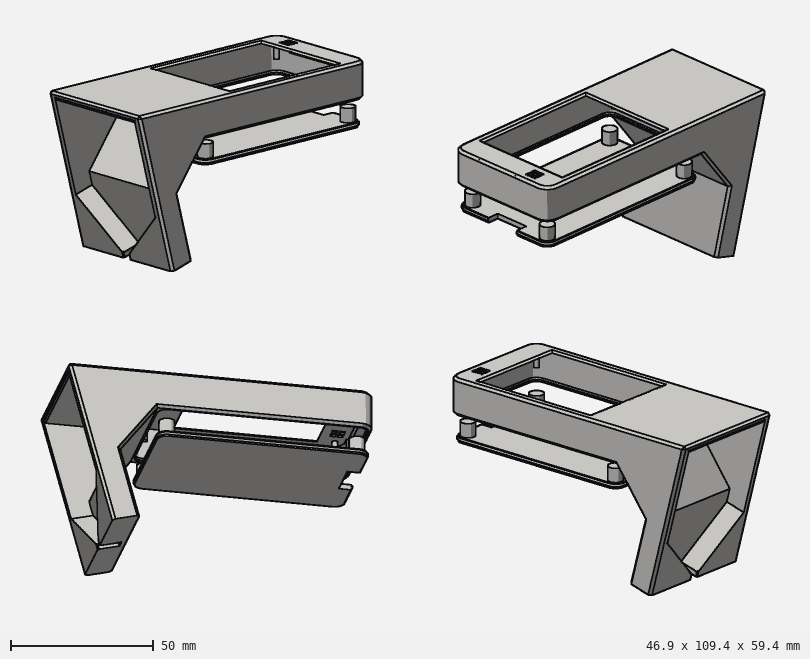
import cadquery as cq
import math

width = 46.9
height = 59.39
top_length = 109.62
body_height = 14.0
brace_start = 77.5
brace_end_depth = 31.5
leg_tilt = math.radians(15)
leg_thickness = 10.0
corner_radius = 5.0
edge_chamfer = 1.0

bay_wall = 1.6
bay_length = 75.2
bay_roof = 0.8
bay_corner_radius = 3.5
bay_width = width - 2 * bay_wall
bay_start_y = -bay_wall
bay_end_y = bay_start_y - bay_length
bay_center_y = (bay_start_y + bay_end_y) / 2

cavity_wall = 3.0
cavity_roof = 3.0
cavity_half_width = width / 2 - cavity_wall
back_wall = 1.9
mouth_roof = 2.0
mouth_depth = 0.5
inner_knee_depth = 31.9
inner_brace_top = 10.9
funnel_start = 40.6
slot_half_width = 1.55
mouth_slot_half_width = 1.85

window_width = 39.0
window_length = 51.3
window_start = 11.35
window_bevel = bay_roof
button_size = 1.8
button_pitch = 2.64
button_center = (-11.85, -5.5)
relief_width = 31.4
relief_bottom = -5.2
relief_offset = 0.3
relief_depth = 0.7

peg_diameter = 2.0
peg_bottom = -7.2
post_diameter = 5.5
post_height = 5.3
cover_thickness = 2.0
cover_bottom = -24.3
cover_top = cover_bottom + cover_thickness
bead_radius = 0.5
groove_radius = 0.4
bead_drop = 0.85
notch_width = 14.0
notch_depth = 4.5

fastener_points = [
    (side * (bay_width / 2 - bay_corner_radius), y)
    for side in (-1, 1)
    for y in (bay_start_y - bay_corner_radius, bay_end_y + bay_corner_radius)
]

tilt_sin = math.sin(leg_tilt)
tilt_cos = math.cos(leg_tilt)
tilt_tan = math.tan(leg_tilt)


def tilted_line_y(depth, offset):
    """Y at a depth, on the line parallel to the tilted face and `offset` inside it."""
    return -top_length + depth * tilt_tan + offset / tilt_cos


toe = (tilted_line_y(height, 0), -height)
heel = (toe[0] + leg_thickness * tilt_cos, toe[1] + leg_thickness * tilt_sin)
knee = (tilted_line_y(brace_end_depth, leg_thickness), -brace_end_depth)
brace_top = (-brace_start, -body_height)

tilted_plane = cq.Plane(
    origin=(0, -top_length, 0), xDir=(1, 0, 0), normal=(0, -tilt_cos, -tilt_sin)
)


def side_prism(points, prism_width):
    return cq.Workplane("YZ").polyline(points).close().extrude(prism_width / 2, both=True)


def make_shell():
    outline = [(0, 0), (-top_length, 0), toe, heel, knee, brace_top, (0, -body_height)]
    shell = side_prism(outline, width).edges("|Z and >Y").fillet(corner_radius)
    end_face_edges = cq.selectors.ParallelDirSelector(cq.Vector(0, tilt_cos, tilt_sin))
    upright_edges = cq.selectors.ParallelDirSelector(cq.Vector(0, 0, 1))
    corner_arcs = shell.edges("%CIRCLE")
    rim = shell.faces("<X or >X or >Y or >Z").edges(-(end_face_edges + upright_edges))
    return rim.add(corner_arcs).chamfer(edge_chamfer)


def rounded_block(center_y, block_width, length, radius, bottom, block_height):
    return (
        cq.Workplane("XY", origin=(0, center_y, bottom))
        .rect(block_width, length)
        .extrude(block_height)
        .edges("|Z")
        .fillet(radius)
    )


def bead_ring(center_z, radius):
    """Round bar that follows the bay outline, half of it standing out of the outline."""
    outline = rounded_block(bay_center_y, bay_width, bay_length, bay_corner_radius, center_z, 1)
    path = outline.faces("<Z").wires()
    section = cq.Workplane("XZ", origin=(bay_width / 2, bay_center_y, center_z)).circle(radius)
    return section.sweep(path, transition="round")


def make_bay():
    bay = rounded_block(bay_center_y, bay_width, bay_length, bay_corner_radius,
                        -2 * body_height, 2 * body_height - bay_roof)
    groove_z = -body_height + cover_thickness - bead_drop
    return bay.union(bead_ring(groove_z, groove_radius))


def make_funnel(top, slot_half, depth):
    """Opening in the tilted face, narrowing from full width to the slot at the toe."""
    right_side = [
        (cavity_half_width, top),
        (cavity_half_width, -funnel_start),
        (slot_half, slot_half - cavity_half_width - funnel_start),
        (slot_half, -2 * height),
    ]
    left_side = [(-x, y) for x, y in reversed(right_side)]
    return cq.Workplane(tilted_plane).polyline(right_side + left_side).close().extrude(-depth)


def make_rear_cavity():
    """Hollow behind the tilted face, following the leg and the brace."""
    floor_offset = leg_thickness - back_wall
    overlap_y = bay_end_y + bay_corner_radius
    side_outline = [
        (overlap_y, -cavity_roof),
        (tilted_line_y(cavity_roof, 0), -cavity_roof),
        (tilted_line_y(2 * height, 0), -2 * height),
        (tilted_line_y(2 * height, floor_offset), -2 * height),
        (tilted_line_y(inner_knee_depth, floor_offset), -inner_knee_depth),
        (bay_end_y, -inner_brace_top),
        (overlap_y, -inner_brace_top),
    ]
    hollow = side_prism(side_outline, 2 * cavity_half_width)
    funnel = make_funnel(height, slot_half_width, top_length)
    mouth_step = make_funnel(-mouth_roof / tilt_cos, mouth_slot_half_width, mouth_depth)
    return hollow.intersect(funnel).union(mouth_step)


def make_window():
    center = (0, -window_start - window_length / 2)
    opening = cq.Workplane("XY").center(*center).rect(window_width, window_length).extrude(-2 * bay_roof)
    bevel = (
        cq.Workplane("XY", origin=(*center, -window_bevel))
        .rect(window_width, window_length)
        .workplane(offset=window_bevel)
        .rect(window_width + 2 * window_bevel, window_length + 2 * window_bevel)
        .loft(ruled=True)
    )
    return opening.union(bevel)


def make_button_holes():
    return (
        cq.Workplane("XY")
        .center(*button_center)
        .rarray(button_pitch, button_pitch, 2, 2)
        .rect(button_size, button_size)
        .extrude(-2 * bay_roof)
    )


def make_end_relief():
    relief_height = -bay_roof - relief_bottom
    relief = cq.Workplane("XY").box(
        relief_width, 2 * relief_depth, relief_height, centered=(True, True, False)
    )
    return relief.translate((relief_offset, bay_start_y, relief_bottom))


def make_housing():
    housing = make_shell()
    for cut in (
        make_bay(),
        make_rear_cavity(),
        make_window(),
        make_button_holes(),
        make_end_relief(),
    ):
        housing = housing.cut(cut)
    pegs = (
        cq.Workplane("XY", origin=(0, 0, -bay_roof))
        .pushPoints(fastener_points)
        .circle(peg_diameter / 2)
        .extrude(peg_bottom + bay_roof)
    )
    return housing.union(pegs)


def make_cover():
    plate = rounded_block(bay_center_y, bay_width, bay_length, bay_corner_radius,
                          cover_bottom, cover_thickness)
    plate = plate.union(bead_ring(cover_top - bead_drop, bead_radius))
    notch = cq.Workplane("XY").box(notch_width, 2 * notch_depth, 4 * cover_thickness)
    plate = plate.cut(notch.translate((0, bay_start_y, cover_top)))
    posts = (
        cq.Workplane("XY", origin=(0, 0, cover_top))
        .pushPoints(fastener_points)
        .circle(post_diameter / 2)
        .extrude(post_height)
    )
    return plate.union(posts)


housing = make_housing()
cover = make_cover()

result = cq.Compound.makeCompound([housing.val(), cover.val()])